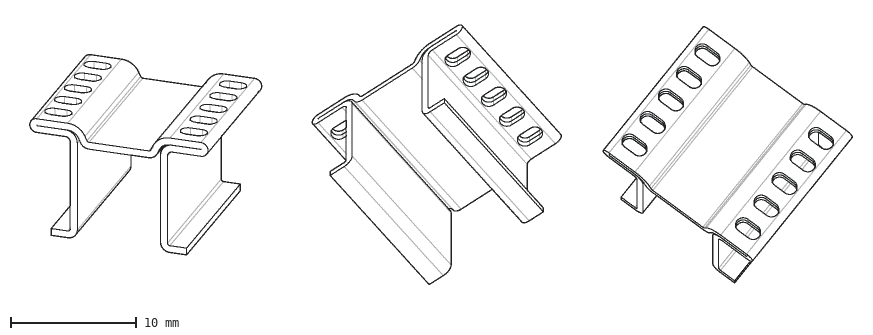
import cadquery as cq
import math

width = 15.0
length = 13.0
height = 10.0

sheet = 0.6
seam_gap = 0.003

web_half_width = 2.5
web_drop = 1.4
slope_angle = 65.0

wall_inner_half_spacing = 3.5
foot_half_spread = 5.7

web_bend_radius = 0.2
shoulder_bend_radius = 1.0
wall_bend_radius = 0.4
foot_bend_radius = 0.2

slot_length = 2.2
slot_width = 1.2
slot_pitch = 2.37
slot_count = 5
slot_x = 5.7

web_mid_radius = web_bend_radius + sheet / 2
shoulder_mid_radius = shoulder_bend_radius + sheet / 2
fold_mid_radius = (sheet + seam_gap) / 2
wall_mid_radius = wall_bend_radius + sheet / 2
foot_mid_radius = foot_bend_radius + sheet / 2

slope_rad = math.radians(slope_angle)
slope_radii = web_mid_radius + shoulder_mid_radius
slope_length = (web_drop - slope_radii * (1 - math.cos(slope_rad))) / math.sin(slope_rad)
shoulder_x = (
    web_half_width
    + slope_radii * math.sin(slope_rad)
    + slope_length * math.cos(slope_rad)
)
fold_x = width / 2 - sheet - seam_gap / 2
wall_x = wall_inner_half_spacing + sheet / 2
top_flange_length = fold_x - shoulder_x
lower_flange_length = fold_x - wall_x - wall_mid_radius
lower_flange_z = height - sheet / 2 - 2 * fold_mid_radius
wall_length = lower_flange_z - wall_mid_radius - foot_mid_radius - sheet / 2
foot_length = foot_half_spread - wall_x - foot_mid_radius

left_half_steps = [
    (web_half_width, -slope_angle, web_mid_radius),
    (slope_length, slope_angle, shoulder_mid_radius),
    (top_flange_length, 180.0, fold_mid_radius),
    (lower_flange_length, -90.0, wall_mid_radius),
    (wall_length, -90.0, foot_mid_radius),
]


def step(point, heading, distance):
    """Point reached from a point by moving a distance along a heading in degrees."""
    angle = math.radians(heading)
    return (point[0] + distance * math.cos(angle), point[1] + distance * math.sin(angle))


def mid_plane_path(start):
    """Mid-plane line of the left half in the XZ plane, from the web centre to the foot tip."""
    point = start
    heading = 180.0
    path = cq.Workplane("XZ").moveTo(*point)
    for straight, turn, radius in left_half_steps:
        point = step(point, heading, straight)
        path = path.lineTo(*point)
        side = math.copysign(90.0, turn)
        centre = step(point, heading + side, radius)
        middle = step(centre, heading - side + turn / 2, radius)
        point = step(centre, heading - side + turn, radius)
        path = path.threePointArc(middle, point)
        heading += turn
    return path.lineTo(*step(point, heading, foot_length))


def folded_half():
    """Left half of the folded sheet."""
    web_z = height - web_drop - sheet / 2
    section = cq.Workplane("YZ").center(0, web_z).rect(length, sheet)
    return section.sweep(mid_plane_path((0, web_z)))


def flange_slots():
    """Cutters for the slots, deep enough for both layers of the left flange."""
    depth = 3 * sheet
    return (
        cq.Workplane("XY", origin=(-slot_x, 0, height))
        .rarray(0.15, slot_pitch, 1, slot_count)
        .slot2D(slot_length, slot_width)
        .extrude(-depth)
    )


left_half = folded_half().cut(flange_slots())
result = left_half.union(left_half.mirror("YZ"))